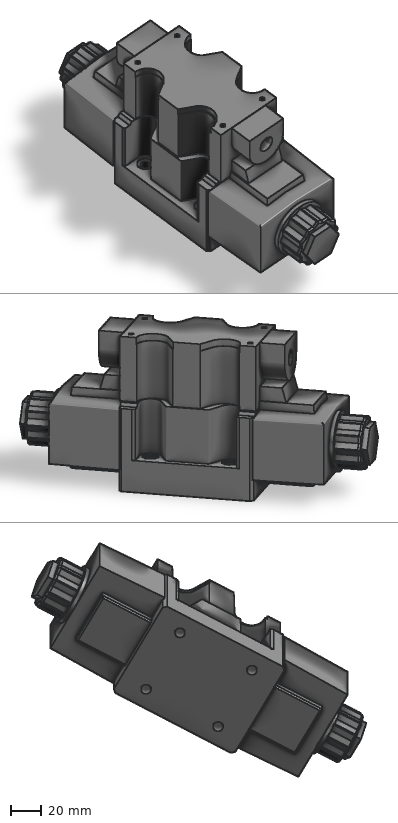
import cadquery as cq
import math

FUSE = 0.5

BASE_HALF_X = 45.8
BASE_WIDTH = 70.0
BASE_HALF_Y = BASE_WIDTH / 2
BASE_TOP = 59.2
BASE_CHAMFER = 2.1
POST_DROP = 2.1
STEP_Y = 30.2

POCKET_FLOOR = 22.0
BOLT_X = 27.1
BOLT_Y = 23.0
BOLT_RADIUS = 3.3
BOLT_SEAT_RADIUS = 5.5
BOLT_SEAT_DEPTH = 1.2
POCKET_RADIUS = 7.3
POST_BEVEL_X = 2.1
POST_BEVEL_Y = 0.7
NOSE_ROUND = 1.5
SLANT_ANGLE = 60.0

HOUSING_SHIFT = 1.0
HOUSING_HALF_X = 46.3
PILLAR_HALF_Y = 25.3
HOUSING_NOSE_Y = 29.0
TOP = 103.5
FLUTE_X = 24.3
FLUTE_Y = 24.5
FLUTE_RADIUS = 10.6
LIP_DEPTH = 4.7
LIP_GROWTH = 0.2
LIP_X = 25.0
LIP_RADIUS = 11.5
SCREW_X = 40.5
SCREW_Y = 18.0
SCREW_RADIUS = 1.7
SCREW_DEPTH = 11.8

PLUG_HALF_X = 63.2
PLUG_HALF_Y = 15.3
PLUG_AXIS_Z = 90.2
PLUG_DROP = 0.2
PLUG_HOLE_RADIUS = 5.5
PLUG_HOLE_DEPTH = 11.8

COIL_END_X = 93.5
COIL_END_HALF_Y = 33.3
COIL_ROOT_HALF_Y = 34.7
COIL_BOTTOM = 14.6
COIL_RIDGE = 59.0
COIL_EAVE = 56.6
COIL_ROUND = 1.7
FOOT_HALF_Y = 18.2
FOOT_BOTTOM = 7.8
FOOT_CHAMFER = 1.2

PLATE_END_X = 82.8
PLATE_HALF_Y = 17.0
PLATE_BASE = 57.8
PLATE_TOP = 63.5
PLATE_TAPER = 8.0
WEDGE_BASE_X = 63.2
WEDGE_TOP_X = 60.5
WEDGE_TOP = 73.5

NUT_AXIS_Z = 35.2
COLLAR_RADIUS = 20.3
COLLAR_END_X = 96.5
NUT_RADIUS = 18.2
NUT_TIP_RADIUS = 18.5
NUT_END_X = 114.0
NUT_BEVEL_X = 1.5
NUT_BEVEL_R = 1.0
HEX_SIDES = 6
HEX_HALF_TURN = 180.0 / HEX_SIDES
HEX_RADIUS = 14.6
HALF_LENGTH = 118.0


def block(x0, x1, half_y, z0, z1):
    """Box between x0 and x1, centred on Y."""
    box = cq.Workplane("XY").box(x1 - x0, 2 * half_y, z1 - z0, centered=False)
    return box.translate((x0, -half_y, z0))


def side_cut(axis_x, axis_y, radius, nose_y, outer_y, z0, z1):
    """Cutter for one +X +Y pocket and the free space in front of the nose.

    The pocket is round about its axis, with a wall along Y on its far side
    and a slanted wall, tangent to the round, that runs to the nose corner.
    """
    slant = math.radians(SLANT_ANGLE)
    tangent_x = axis_x - radius * math.sin(slant)
    tangent_y = axis_y - radius * math.cos(slant)
    corner_x = tangent_x - (nose_y - tangent_y) / math.tan(slant)
    mid_angle = -(math.pi / 2 + slant) / 2
    arc_middle = (axis_x + radius * math.cos(mid_angle), axis_y + radius * math.sin(mid_angle))
    return (
        cq.Workplane("XY", origin=(0, 0, z0))
        .moveTo(axis_x + radius, outer_y)
        .lineTo(axis_x + radius, axis_y)
        .threePointArc(arc_middle, (tangent_x, tangent_y))
        .lineTo(corner_x, nose_y)
        .lineTo(0, nose_y)
        .lineTo(0, outer_y)
        .close()
        .extrude(z1 - z0)
    )


def both_ends(shape):
    """The shape and its mirror image in X."""
    return shape.union(shape.mirror("YZ"))


def four_corners(shape):
    """The shape and its mirror images in X and Y."""
    half = both_ends(shape)
    return half.union(half.mirror("XZ"))


def make_base():
    base = block(-BASE_HALF_X, BASE_HALF_X, BASE_HALF_Y, 0, BASE_TOP).edges("|Z").chamfer(BASE_CHAMFER)
    post_top = BASE_TOP - POST_DROP
    shoulder = (
        cq.Workplane("YZ")
        .polyline([
            (STEP_Y - POST_DROP, BASE_TOP),
            (STEP_Y, post_top),
            (BASE_HALF_Y, post_top),
            (BASE_HALF_Y, BASE_TOP),
        ])
        .close()
        .extrude(BASE_HALF_X)
    )
    nose_end_x = BOLT_X - POCKET_RADIUS
    shoulder = shoulder.intersect(block(nose_end_x, BASE_HALF_X, BASE_HALF_Y, post_top, BASE_TOP))
    pocket = side_cut(BOLT_X, BOLT_Y, POCKET_RADIUS, STEP_Y, BASE_HALF_Y, POCKET_FLOOR, BASE_TOP)
    nose_edges = cq.selectors.BoxSelector(
        (-nose_end_x, STEP_Y - FUSE, POCKET_FLOOR),
        (nose_end_x, STEP_Y + FUSE, BASE_TOP),
    )
    pocket = both_ends(pocket).edges("|Z").edges(nose_edges).fillet(NOSE_ROUND)
    wall_x = BOLT_X + POCKET_RADIUS
    bevel = (
        cq.Workplane("XY", origin=(0, 0, POCKET_FLOOR))
        .polyline([
            (wall_x, BASE_HALF_Y),
            (wall_x, BASE_HALF_Y - POST_BEVEL_Y),
            (wall_x + POST_BEVEL_X, BASE_HALF_Y),
        ])
        .close()
        .extrude(BASE_TOP - POCKET_FLOOR)
    )
    pockets = pocket.union(pocket.mirror("XZ"))
    return base.cut(four_corners(shoulder)).cut(pockets).cut(four_corners(bevel))


def make_housing():
    housing = block(-HOUSING_HALF_X, HOUSING_HALF_X, PILLAR_HALF_Y, BASE_TOP, TOP)
    wall_x = FLUTE_X + FLUTE_RADIUS
    housing = housing.union(block(-wall_x, wall_x, HOUSING_NOSE_Y, BASE_TOP, TOP))
    flute = side_cut(FLUTE_X, FLUTE_Y, FLUTE_RADIUS, HOUSING_NOSE_Y, BASE_HALF_Y, BASE_TOP, TOP)
    lip_z = TOP - LIP_DEPTH
    lip_radius = FLUTE_RADIUS + LIP_GROWTH
    lip = side_cut(FLUTE_X, FLUTE_Y, lip_radius, HOUSING_NOSE_Y, BASE_HALF_Y, lip_z, TOP)
    round_lip = cq.Workplane("XY", origin=(LIP_X, -FLUTE_Y, lip_z)).circle(LIP_RADIUS).extrude(LIP_DEPTH)
    screws = (
        cq.Workplane("XY", origin=(0, 0, TOP - SCREW_DEPTH))
        .rect(2 * SCREW_X, 2 * SCREW_Y, forConstruction=True)
        .vertices()
        .circle(SCREW_RADIUS)
        .extrude(SCREW_DEPTH)
    )
    housing = housing.cut(four_corners(flute)).cut(four_corners(lip)).cut(round_lip)
    return housing.cut(screws).union(both_ends(make_plug()))


def make_plug():
    inner_x = HOUSING_HALF_X - FUSE
    plug = block(inner_x, PLUG_HALF_X, PLUG_HALF_Y, PLUG_AXIS_Z, TOP - PLUG_DROP)
    round_side = (
        cq.Workplane("YZ", origin=(inner_x, 0, PLUG_AXIS_Z))
        .moveTo(-PLUG_HALF_Y, 0)
        .threePointArc((0, -PLUG_HALF_Y), (PLUG_HALF_Y, 0))
        .close()
    )
    hole_bottom_x = PLUG_HALF_X - PLUG_HOLE_DEPTH
    hole = cq.Workplane("YZ", origin=(hole_bottom_x, 0, PLUG_AXIS_Z)).circle(PLUG_HOLE_RADIUS)
    return plug.union(round_side.extrude(PLUG_HALF_X - inner_x)).cut(hole.extrude(PLUG_HOLE_DEPTH))


def make_coil():
    inner_x = BASE_HALF_X - FUSE
    plan = (
        cq.Workplane("XY", origin=(0, 0, COIL_BOTTOM))
        .polyline([
            (inner_x, -COIL_ROOT_HALF_Y),
            (COIL_END_X, -COIL_END_HALF_Y),
            (COIL_END_X, COIL_END_HALF_Y),
            (inner_x, COIL_ROOT_HALF_Y),
        ])
        .close()
        .extrude(COIL_RIDGE - COIL_BOTTOM)
    )
    roof = (
        cq.Workplane("YZ", origin=(inner_x, 0, 0))
        .polyline([
            (-COIL_ROOT_HALF_Y, COIL_BOTTOM),
            (COIL_ROOT_HALF_Y, COIL_BOTTOM),
            (COIL_ROOT_HALF_Y, COIL_EAVE),
            (0, COIL_RIDGE),
            (-COIL_ROOT_HALF_Y, COIL_EAVE),
        ])
        .close()
        .extrude(COIL_END_X - inner_x)
    )
    coil = plan.intersect(roof)
    rim = cq.selectors.BoxSelector(
        (inner_x + FUSE, -BASE_HALF_Y, COIL_EAVE - FUSE),
        (COIL_END_X + FUSE, BASE_HALF_Y, COIL_RIDGE - FUSE),
    )
    coil = coil.edges(rim).fillet(COIL_ROUND)
    foot = block(inner_x, PLATE_END_X, FOOT_HALF_Y, FOOT_BOTTOM, COIL_BOTTOM)
    return coil.union(foot.faces("<Z").edges("not <X").chamfer(FOOT_CHAMFER))


def make_label_and_wedge():
    plate = (
        cq.Workplane("XY", origin=(0, 0, PLATE_BASE))
        .rect(2 * PLATE_END_X, 2 * PLATE_HALF_Y)
        .extrude(PLATE_TOP - PLATE_BASE, taper=PLATE_TAPER)
    )
    wedge = (
        cq.Workplane("XZ", origin=(0, PLUG_HALF_Y, 0))
        .polyline([
            (-WEDGE_BASE_X, PLATE_TOP),
            (WEDGE_BASE_X, PLATE_TOP),
            (WEDGE_TOP_X, WEDGE_TOP),
            (-WEDGE_TOP_X, WEDGE_TOP),
        ])
        .close()
        .extrude(2 * PLUG_HALF_Y)
    )
    core = block(-BASE_HALF_X + FUSE, BASE_HALF_X - FUSE, BASE_HALF_Y, PLATE_BASE, TOP)
    return plate.union(wedge).cut(core)


def make_nut():
    collar_x = COIL_END_X - FUSE
    collar = cq.Workplane("YZ", origin=(collar_x, 0, NUT_AXIS_Z)).circle(COLLAR_RADIUS)
    nut = collar.extrude(COLLAR_END_X - collar_x)
    bevel_x = NUT_END_X - NUT_BEVEL_X
    bevel_taper = math.degrees(math.atan(NUT_BEVEL_R / NUT_BEVEL_X))
    hexagon = cq.Workplane("YZ", origin=(COIL_END_X, 0, 0)).polygon(HEX_SIDES, 2 * NUT_TIP_RADIUS)
    bevel = cq.Workplane("YZ", origin=(bevel_x, 0, 0)).polygon(HEX_SIDES, 2 * NUT_TIP_RADIUS)
    prism = hexagon.extrude(bevel_x - COIL_END_X).union(bevel.extrude(NUT_BEVEL_X, taper=bevel_taper))
    star = prism.union(prism.rotate((0, 0, 0), (1, 0, 0), HEX_HALF_TURN))
    trim = cq.Workplane("YZ", origin=(COIL_END_X, 0, 0)).circle(NUT_RADIUS)
    star = star.intersect(trim.extrude(NUT_END_X - COIL_END_X))
    nut = nut.union(star.translate((0, 0, NUT_AXIS_Z)))
    cap = cq.Workplane("YZ", origin=(COIL_END_X, 0, NUT_AXIS_Z)).polygon(HEX_SIDES, 2 * HEX_RADIUS)
    return nut.union(cap.extrude(HALF_LENGTH - COIL_END_X))


bolt_pattern = cq.Workplane("XY").rect(2 * BOLT_X, 2 * BOLT_Y, forConstruction=True).vertices()
bolt_holes = bolt_pattern.circle(BOLT_RADIUS).extrude(POCKET_FLOOR)
bolt_seats = bolt_pattern.circle(BOLT_SEAT_RADIUS).extrude(BOLT_SEAT_DEPTH)
bolt_seats = bolt_seats.translate((0, 0, POCKET_FLOOR - BOLT_SEAT_DEPTH))

result = (
    make_base()
    .union(make_housing().translate((HOUSING_SHIFT, 0, 0)))
    .union(both_ends(make_coil()))
    .union(make_label_and_wedge())
    .union(both_ends(make_nut()))
    .cut(bolt_holes)
    .cut(bolt_seats)
)